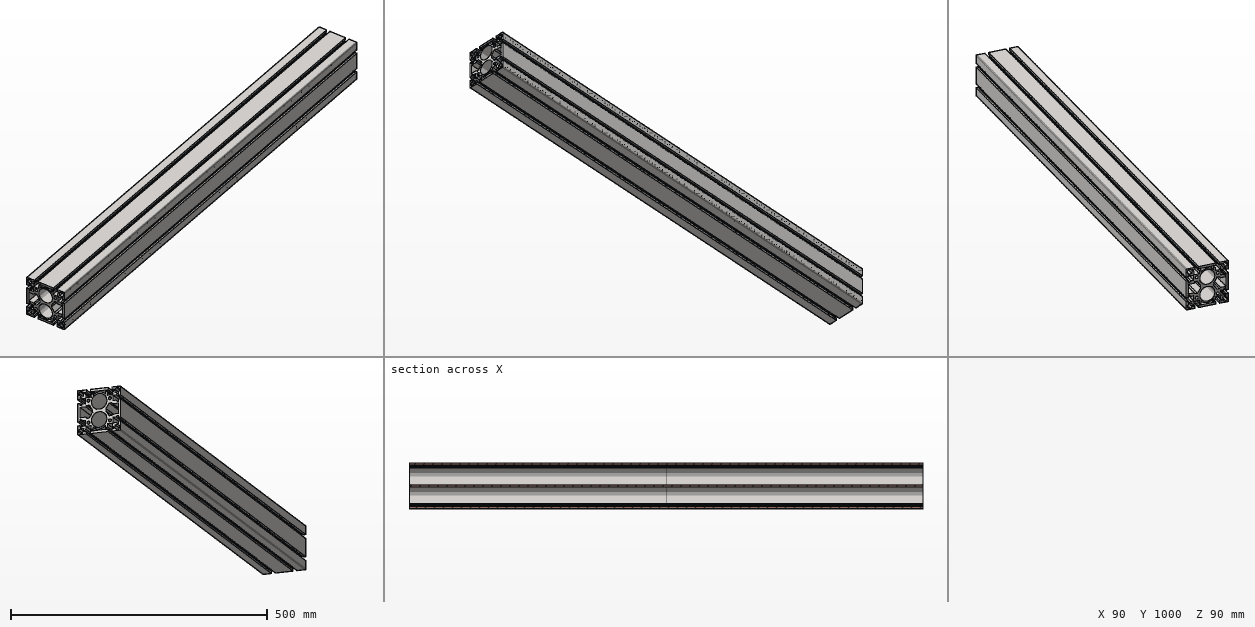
import cadquery as cq
import math

LENGTH = 1000.0
SIDE = 90.0
HALF = SIDE / 2
PITCH = SIDE / 2
CELL = PITCH / 2
EDGE_RADIUS = 1.5

WALL = 5.0

SLOT_OPENING = 8.0
CAVITY_WIDTH = 16.0
CAVITY_STRAIGHT = 2.0
CAVITY_TAPER = 3.0
CAVITY_FLOOR_WIDTH = 11.0
SLOT_DEPTH = 16.0

CORNER_SKIN = 2.5
CORNER_CHAMBER_END = 12.0
CORNER_CHAMFER = 3.0

CORE_DIAMETER = 6.0

BORE_RADIUS = 16.0
BORE_OFFSET = 18.5

POCKET_WIDTH = 26.0
BORE_RING_RADIUS = 19.0

SIDE_HEIGHT_AT_WALL = 21.0
SIDE_HEIGHT_MAX = 26.0
SIDE_FLARE_START = 28.0
SIDE_FLARE_END = 26.0
SIDE_TIP_START = 21.0
SIDE_TIP = 14.0
SIDE_TIP_HEIGHT = 5.0


def section():
    """Sketch plane of the cross-section: local axes are X and Z."""
    return cq.Workplane("XZ")


def prism(outline):
    """Closed cross-section outline swept over the full length, centred on Y."""
    return outline.extrude(LENGTH / 2, both=True)


def round_prism(x, z, radius):
    return prism(section().center(x, z).circle(radius))


def slot(x):
    """T-slot in the top face with its axis at x."""
    cavity_top = HALF - WALL
    taper_top = cavity_top - CAVITY_STRAIGHT
    right_side = [
        (SLOT_OPENING / 2, HALF),
        (SLOT_OPENING / 2, cavity_top),
        (CAVITY_WIDTH / 2, cavity_top),
        (CAVITY_WIDTH / 2, taper_top),
        (CAVITY_FLOOR_WIDTH / 2, taper_top - CAVITY_TAPER),
        (CAVITY_FLOOR_WIDTH / 2, HALF - SLOT_DEPTH),
    ]
    left_side = [(-across, z) for across, z in reversed(right_side)]
    outline = [(x + across, z) for across, z in right_side + left_side]
    return prism(section().polyline(outline).close())


def corner_chamber():
    """Chamber in the +X +Z corner; only its innermost corner stays sharp."""
    outer = HALF - CORNER_SKIN
    inner = HALF - CORNER_CHAMBER_END
    outline = [
        (inner, inner),
        (outer - CORNER_CHAMFER, inner),
        (outer, inner + CORNER_CHAMFER),
        (outer, outer - CORNER_CHAMFER),
        (outer - CORNER_CHAMFER, outer),
        (inner + CORNER_CHAMFER, outer),
        (inner, outer - CORNER_CHAMFER),
    ]
    return prism(section().polyline(outline).close())


def bore_pocket():
    """Pocket above the upper bore, flat on top, its underside following the bore wall."""
    side = POCKET_WIDTH / 2
    top = HALF - WALL
    ring_top = BORE_OFFSET + BORE_RING_RADIUS
    corner = BORE_OFFSET + math.sqrt(BORE_RING_RADIUS**2 - side**2)
    outline = (
        section()
        .moveTo(side, top)
        .lineTo(-side, top)
        .lineTo(-side, corner)
        .threePointArc((0, ring_top), (side, corner))
        .close()
    )
    return prism(outline)


def side_chamber():
    """Chamber right of the centre: flat-sided at the wall, flared, then a blunt tapered tip."""
    upper_side = [
        (HALF - WALL, SIDE_HEIGHT_AT_WALL / 2),
        (SIDE_FLARE_START, SIDE_HEIGHT_AT_WALL / 2),
        (SIDE_FLARE_END, SIDE_HEIGHT_MAX / 2),
        (SIDE_TIP_START, SIDE_HEIGHT_MAX / 2),
        (SIDE_TIP, SIDE_TIP_HEIGHT / 2),
    ]
    lower_side = [(x, -z) for x, z in reversed(upper_side)]
    return prism(section().polyline(upper_side + lower_side).close())


def turned(body, angle):
    """Body rotated about the long axis."""
    return body.rotate((0, 0, 0), (0, 1, 0), angle)


result = prism(section().rect(SIDE, SIDE)).edges("|Y").fillet(EDGE_RADIUS)

for quarter in range(4):
    angle = 90 * quarter
    result = result.cut(turned(slot(-CELL), angle))
    result = result.cut(turned(slot(CELL), angle))
    result = result.cut(turned(corner_chamber(), angle))
    result = result.cut(turned(round_prism(CELL, CELL, CORE_DIAMETER / 2), angle))

for angle in (0, 180):
    result = result.cut(turned(round_prism(0, BORE_OFFSET, BORE_RADIUS), angle))
    result = result.cut(turned(side_chamber(), angle))
    result = result.cut(turned(bore_pocket(), angle))